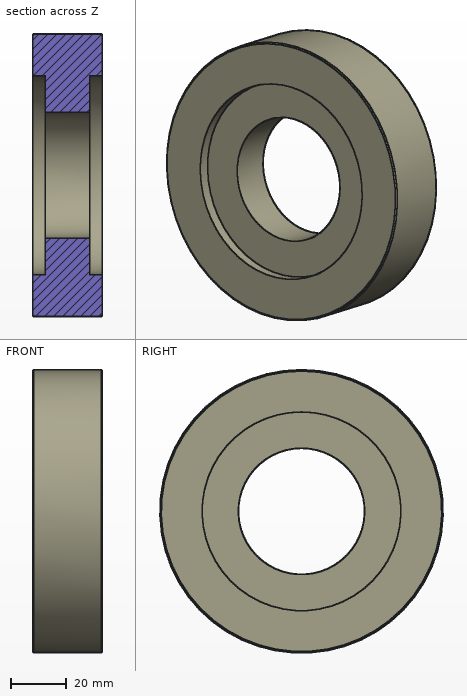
import cadquery as cq

width = 25.0
outer_diameter = 101.2
bore_diameter = 45.0
recess_diameter = 71.0
recess_depth = 4.5
rim_chamfer = 0.5

face_x = width / 2
recess_floor_x = face_x - recess_depth
outer_radius = outer_diameter / 2
bore_radius = bore_diameter / 2
recess_radius = recess_diameter / 2


def ring_blank():
    """Recessed ring, revolved about X from its section in the XZ plane."""
    section = (
        cq.Workplane("XZ")
        .moveTo(-recess_floor_x, bore_radius)
        .lineTo(-recess_floor_x, recess_radius)
        .lineTo(-face_x, recess_radius)
        .lineTo(-face_x, outer_radius)
        .lineTo(face_x, outer_radius)
        .lineTo(face_x, recess_radius)
        .lineTo(recess_floor_x, recess_radius)
        .lineTo(recess_floor_x, bore_radius)
        .close()
    )
    return section.revolve(360, (0, 0, 0), (1, 0, 0))


def chamfer_outer_rims(ring):
    """Break the outer edge of both end faces."""
    outer_rims = cq.selectors.RadiusNthSelector(-1)
    return ring.edges("%CIRCLE").edges(outer_rims).chamfer(rim_chamfer)


result = chamfer_outer_rims(ring_blank())